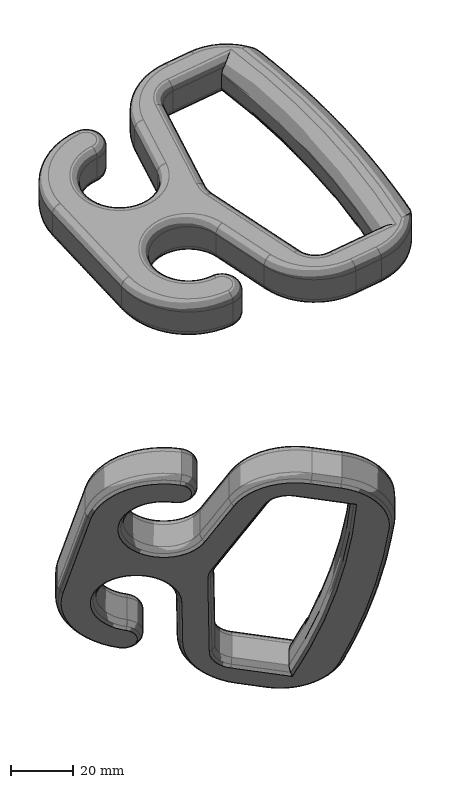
import cadquery as cq
import math

WIDTH = 112.0
LENGTH = 100.8
THICKNESS = 15.0

EDGE_RADIUS = 3.0
BEVEL = EDGE_RADIUS * (2 - math.sqrt(2))

GRIP_WIDTH = THICKNESS
GRIP_RADIUS = 6.0
CROWN_RADIUS = 300.0
CROWN_CENTER_Y = LENGTH - CROWN_RADIUS
INNER_CROWN_RADIUS = CROWN_RADIUS - GRIP_WIDTH

HOOK_CENTER_X = 20.0
HOOK_OUTER_RADIUS = 26.0
HOOK_INNER_RADIUS = 13.0
HOOK_CENTER_Y = HOOK_OUTER_RADIUS
TIP_RADIUS = (HOOK_OUTER_RADIUS - HOOK_INNER_RADIUS) / 2

SLOPE = math.radians(13.5)
LOWER_CORNER_RADIUS = 24.0
UPPER_CORNER_RADIUS = 22.0
OPENING_HALF_WIDTH = 45.0
OPENING_CORNER_RADIUS = 7.0
OPENING_CORNER_Y = 63.3
OPENING_VEE_RADIUS = 10.0

SLAB_SIZE = 4 * WIDTH
SELECT_TOLERANCE = 0.01


def point_on_circle(center, radius, angle):
    return (center[0] + radius * math.cos(angle), center[1] + radius * math.sin(angle))


def arc_points(center, radius, start, end):
    """Middle and end points of an arc, ready for threePointArc."""
    middle = point_on_circle(center, radius, (start + end) / 2)
    return middle, point_on_circle(center, radius, end)


def both_halves(half):
    """Join a right half with its mirror image across the YZ plane."""
    return half.union(half.mirror("YZ")).clean()


def outer_prism():
    """Square-edged plate: hooks, neck and frame, without the opening."""
    half_width = WIDTH / 2
    hook = (HOOK_CENTER_X, HOOK_CENTER_Y)
    tip = (HOOK_CENTER_X + HOOK_INNER_RADIUS + TIP_RADIUS, HOOK_CENTER_Y)

    lower_x = half_width - LOWER_CORNER_RADIUS
    tangent_gap = HOOK_INNER_RADIUS + LOWER_CORNER_RADIUS + (lower_x - HOOK_CENTER_X) * math.sin(SLOPE)
    lower = (lower_x, HOOK_CENTER_Y + tangent_gap / math.cos(SLOPE))

    upper_x = half_width - UPPER_CORNER_RADIUS
    center_distance = CROWN_RADIUS - UPPER_CORNER_RADIUS
    crown_angle = math.acos(upper_x / center_distance)
    upper = (upper_x, CROWN_CENTER_Y + center_distance * math.sin(crown_angle))

    down = -math.pi / 2
    slope_down = down + SLOPE
    crown = (0, CROWN_CENTER_Y)
    half = (
        cq.Workplane("XY")
        .lineTo(HOOK_CENTER_X, 0)
        .threePointArc(*arc_points(hook, HOOK_OUTER_RADIUS, down, 0))
        .threePointArc(*arc_points(tip, TIP_RADIUS, 0, math.pi))
        .threePointArc(*arc_points(hook, HOOK_INNER_RADIUS, 0, slope_down - math.pi))
        .lineTo(*point_on_circle(lower, LOWER_CORNER_RADIUS, slope_down))
        .threePointArc(*arc_points(lower, LOWER_CORNER_RADIUS, slope_down, 0))
        .lineTo(half_width, upper[1])
        .threePointArc(*arc_points(upper, UPPER_CORNER_RADIUS, 0, crown_angle))
        .threePointArc(*arc_points(crown, CROWN_RADIUS, crown_angle, math.pi / 2))
        .close()
        .extrude(THICKNESS)
    )
    return both_halves(half)


def slab_with_opening():
    """Oversized square-edged slab; its opening runs on past the crown."""
    top_y = LENGTH + WIDTH / 2
    corner_x = OPENING_HALF_WIDTH - OPENING_CORNER_RADIUS
    slope_y = OPENING_CORNER_Y - OPENING_CORNER_RADIUS / math.cos(SLOPE)
    vee_y = slope_y - corner_x * math.tan(SLOPE)
    side_y = vee_y + OPENING_HALF_WIDTH * math.tan(SLOPE)
    half = (
        cq.Workplane("XY")
        .moveTo(0, vee_y)
        .lineTo(OPENING_HALF_WIDTH, side_y)
        .lineTo(OPENING_HALF_WIDTH, top_y)
        .lineTo(0, top_y)
        .close()
        .extrude(THICKNESS)
    )
    opening = both_halves(half).edges("|Z").edges("<Y").fillet(OPENING_VEE_RADIUS)
    opening = opening.edges("|Z").edges("<X or >X").fillet(OPENING_CORNER_RADIUS)
    slab = cq.Workplane("XY").rect(SLAB_SIZE, SLAB_SIZE).extrude(THICKNESS)
    return slab.cut(opening)


def soften_edges(plate):
    """Bevel the underside, then round the bevel's upper edges and the top edges."""
    beveled = plate.faces("<Z").chamfer(BEVEL)
    lower_corner = (-SLAB_SIZE, -SLAB_SIZE, BEVEL - SELECT_TOLERANCE)
    upper_corner = (SLAB_SIZE, SLAB_SIZE, BEVEL + SELECT_TOLERANCE)
    bevel_edges = cq.selectors.BoxSelector(lower_corner, upper_corner, boundingbox=True)
    rounded = beveled.edges(bevel_edges).fillet(EDGE_RADIUS)
    return rounded.faces(">Z").edges().fillet(EDGE_RADIUS)


def crown_disc():
    """Disc under the crown arc with a grip-sized round on its top edge."""
    disc = cq.Workplane("XY").center(0, CROWN_CENTER_Y).circle(CROWN_RADIUS).extrude(THICKNESS)
    return disc.faces(">Z").edges().fillet(GRIP_RADIUS)


def grip_hollow():
    """Everything inside the grip's inner wall: a disc flaring outward at both rims."""
    lower_round = (INNER_CROWN_RADIUS + EDGE_RADIUS, EDGE_RADIUS)
    upper_round = (INNER_CROWN_RADIUS + GRIP_RADIUS, THICKNESS - GRIP_RADIUS)
    bevel_angle = math.radians(225)
    wall_angle = math.pi
    hollow = (
        cq.Workplane("XZ")
        .lineTo(INNER_CROWN_RADIUS + BEVEL, 0)
        .lineTo(*point_on_circle(lower_round, EDGE_RADIUS, bevel_angle))
        .threePointArc(*arc_points(lower_round, EDGE_RADIUS, bevel_angle, wall_angle))
        .lineTo(INNER_CROWN_RADIUS, upper_round[1])
        .threePointArc(*arc_points(upper_round, GRIP_RADIUS, wall_angle, math.pi / 2))
        .lineTo(0, THICKNESS)
        .close()
        .revolve(360, (0, 0, 0), (0, 1, 0))
    )
    return hollow.translate((0, CROWN_CENTER_Y, 0))


blank = soften_edges(outer_prism()).intersect(crown_disc())
frame = blank.intersect(soften_edges(slab_with_opening()))
grip = blank.cut(grip_hollow())
result = frame.union(grip)